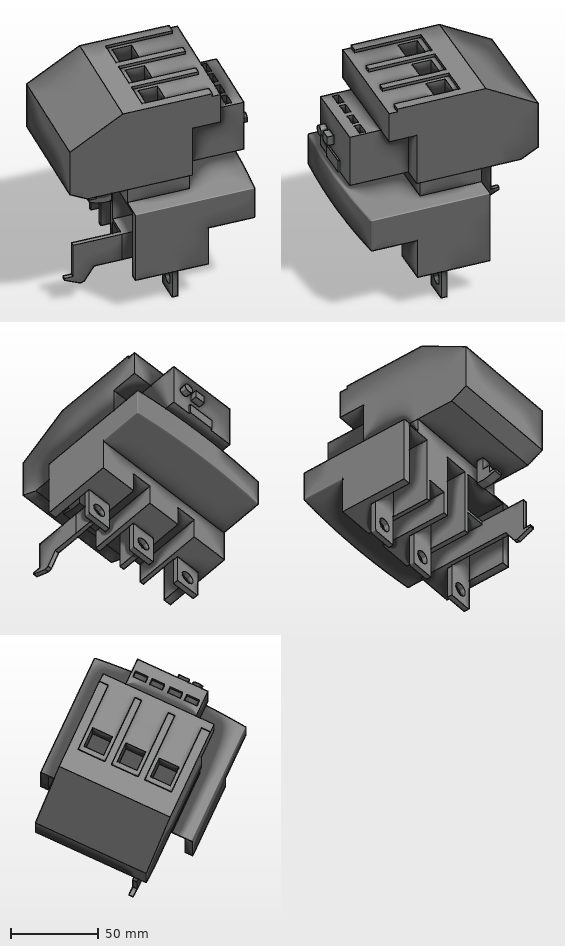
import cadquery as cq


BASE_WIDTH = 96.0
BASE_TOP = 46.6
BASE_BACK = 75.9
BACK_BOW = 2.4
BASE_LOWER_BACK = 44.8
OVERHANG_BOTTOM = 25.2
BASE_EDGE_RADIUS = 1.0

POLE_PITCH = 35.0
BLADE_WIDTH = 16.0
BLADE_THICKNESS = 3.3
BLADE_FRONT = 24.6
BLADE_BOTTOM = -22.4
BLADE_CORNER_RADIUS = 1.0
BLADE_HOLE_DIAMETER = 8.5
BLADE_HOLE_Z = -12.4

POCKET_TOP = 45.4
SIDE_POCKET_WIDTH = 16.4
NOTCH_TOP = 16.0
NOTCH_INNER_X = 11.1
NOTCH_OUTER_X = 24.0
SHELF_TOP = 18.2

ARM_THICKNESS = 2.7
ARM_FRONT = -30.1
ARM_ROOT_FRONT = -17.2
ARM_HOOK_HEEL = (-23.2, -9.2)
ARM_HOOK_TOE = (-25.6, -10.0)
ARM_LIP_BOTTOM = -5.5
ARM_LIP_TOP = -4.1

HEAD_WIDTH = 70.0
HEAD_BOTTOM = 55.7
HEAD_TOP = 110.6
HEAD_FRONT = -35.2
HEAD_BACK = 57.1
TOP_SLOPE_START = -2.7
FRONT_FACE_TOP = 91.8
FRONT_FACE_BOTTOM = 61.5
BOTTOM_SLOPE_START = -24.6
NECK_WIDE_BACK = 38.0
NECK_BACK = 66.7
NECK_NARROW_WIDTH = 20.0

CHANNEL_PITCH = 21.0
CHANNEL_WIDTH = 16.9
CHANNEL_DEPTH = 1.9
CHANNEL_FRONT = 11.0
REAR_LEDGE_FRONT = 52.0
WELL_WIDTH = 12.5
WELL_FRONT = 14.2
WELL_BACK = 26.1
WELL_DEPTH = 20.0

BOX_WIDTH = 44.4
BOX_FRONT = 40.0
BOX_BACK = 76.2
BOX_TOP = 89.2
SLOT_CENTERS_X = (-16.4, -5.9, 5.5, 16.0)
SLOT_WIDTH = 7.9
SLOT_FRONT = 65.8
SLOT_BACK = 69.5
SLOT_DEPTH = 5.0

BUTTON_BACK = 80.3
BUTTON_Z = 72.0
BUTTON_HEIGHT = 6.0
SQUARE_BUTTON_X = 5.3
SQUARE_BUTTON_WIDTH = 6.6
ROUND_BUTTON_X = 14.1
PLATE_LEFT = -7.2
PLATE_RIGHT = 10.0
PLATE_TOP = 63.5
PLATE_BACK = 77.3

LATCH_LEFT = 13.9
LATCH_WIDTH = 6.0
LATCH_BACK = -4.1
LATCH_STEM_FRONT = -8.7
LATCH_STEP_FRONT = -13.2
LATCH_STEP_TOP = 47.0
LATCH_LIP_FRONT = -17.4
LATCH_LIP_TOP = 42.4
LATCH_LIP_BOTTOM = 40.6
LATCH_SLOPE_END = -10.0
LATCH_BOTTOM = 38.4


def block(x_range, y_range, z_range):
    """Box between the given limits on each axis."""
    (x0, x1), (y0, y1), (z0, z1) = x_range, y_range, z_range
    return cq.Workplane("XY").box(x1 - x0, y1 - y0, z1 - z0, centered=False).translate((x0, y0, z0))


def centered_range(center, width):
    return center - width / 2, center + width / 2


def side_profile(points, x_left, width):
    """Outline of (Y, Z) points, extruded along X from x_left."""
    return cq.Workplane("YZ").polyline(points).close().extrude(width).translate((x_left, 0, 0))


def base_shell():
    """Upper slab with a domed back over a shorter lower block, with rounded outer edges."""
    half = BASE_WIDTH / 2
    upper = block((-half, half), (0, BASE_BACK), (OVERHANG_BOTTOM, BASE_TOP))
    dome_radius = (half**2 + BACK_BOW**2) / (2 * BACK_BOW)
    dome_z = (OVERHANG_BOTTOM + BASE_TOP) / 2
    dome = cq.Workplane("XY").sphere(dome_radius).translate((0, BASE_BACK - dome_radius, dome_z))
    upper = upper.intersect(dome)
    lower = block((-half, half), (0, BASE_LOWER_BACK), (0, OVERHANG_BOTTOM))
    shell = upper.union(lower)

    back_edges = shell.faces(">Y").edges()
    top_edges = shell.faces(">Z").edges("|Y")
    overhang_center = (0, (BASE_LOWER_BACK + BASE_BACK) / 2, OVERHANG_BOTTOM)
    overhang = shell.faces(cq.selectors.NearestToPointSelector(overhang_center))
    rounded_edges = back_edges.vals() + top_edges.vals() + overhang.edges("|Y").vals()
    return shell.newObject(rounded_edges).fillet(BASE_EDGE_RADIUS)


def neck():
    wide = block(centered_range(0, HEAD_WIDTH), (0, NECK_WIDE_BACK), (BASE_TOP, HEAD_BOTTOM))
    narrow = block(centered_range(0, NECK_NARROW_WIDTH), (NECK_WIDE_BACK, NECK_BACK), (BASE_TOP, HEAD_BOTTOM))
    return wide.union(narrow)


def base_pockets():
    """Front pockets ahead of the blades; the right one widens inwards above a shelf."""
    depth = (0, BLADE_FRONT)
    outer_x = POLE_PITCH + BLADE_WIDTH / 2
    inner_x = outer_x - SIDE_POCKET_WIDTH
    left = block((-outer_x, -inner_x), depth, (0, POCKET_TOP))
    middle = block(centered_range(0, BLADE_WIDTH), depth, (0, POCKET_TOP))
    right = block((inner_x, outer_x), depth, (0, POCKET_TOP))
    right_widening = block((NOTCH_INNER_X, outer_x), depth, (SHELF_TOP, POCKET_TOP))
    return left.union(middle).union(right).union(right_widening)


def base_notches():
    """Two notches between the poles, open below and running from front to back."""
    right = block((NOTCH_INNER_X, NOTCH_OUTER_X), (0, BASE_LOWER_BACK), (0, NOTCH_TOP))
    return right.union(right.mirror("YZ"))


def blade(x, rounded_corners):
    """Terminal blade hanging from the base, drilled for a screw."""
    tongue = block(
        centered_range(x, BLADE_WIDTH),
        (BLADE_FRONT, BLADE_FRONT + BLADE_THICKNESS),
        (BLADE_BOTTOM, 0),
    )
    tongue = tongue.faces("<Z").edges(rounded_corners).fillet(BLADE_CORNER_RADIUS)
    hole = (
        cq.Workplane("XZ", origin=(x, BLADE_FRONT, BLADE_HOLE_Z))
        .circle(BLADE_HOLE_DIAMETER / 2)
        .extrude(-BLADE_THICKNESS)
    )
    return tongue.cut(hole)


def hook_arm():
    """Thin arm reaching forward from beside the right pocket, ending in a hook."""
    points = [
        (0, SHELF_TOP),
        (ARM_FRONT, SHELF_TOP),
        (ARM_FRONT, ARM_LIP_TOP),
        (HEAD_FRONT, ARM_LIP_TOP),
        (HEAD_FRONT, ARM_LIP_BOTTOM),
        ARM_HOOK_TOE,
        ARM_HOOK_HEEL,
        (ARM_ROOT_FRONT, 0),
        (0, 0),
    ]
    return side_profile(points, NOTCH_OUTER_X, ARM_THICKNESS)


def make_base():
    base = base_shell().union(neck()).cut(base_pockets()).cut(base_notches())
    for x, rounded_corners in ((-POLE_PITCH, "<X"), (0, "|Y"), (POLE_PITCH, ">X")):
        base = base.union(blade(x, rounded_corners))
    return base.union(hook_arm())


def head_block():
    """Sloped-front block, cut away under its rear where the narrower box takes over."""
    points = [
        (BOTTOM_SLOPE_START, HEAD_BOTTOM),
        (HEAD_FRONT, FRONT_FACE_BOTTOM),
        (HEAD_FRONT, FRONT_FACE_TOP),
        (TOP_SLOPE_START, HEAD_TOP),
        (HEAD_BACK, HEAD_TOP),
        (HEAD_BACK, BOX_TOP),
        (BOX_FRONT, BOX_TOP),
        (BOX_FRONT, HEAD_BOTTOM),
    ]
    return side_profile(points, -HEAD_WIDTH / 2, HEAD_WIDTH)


def cut_wire_channels(head):
    """Rear ledge, three shallow channels running into it, and a square well in each channel."""
    floor = HEAD_TOP - CHANNEL_DEPTH
    ledge = block(centered_range(0, HEAD_WIDTH), (REAR_LEDGE_FRONT, HEAD_BACK), (floor, HEAD_TOP))
    head = head.cut(ledge)
    for x in (-CHANNEL_PITCH, 0, CHANNEL_PITCH):
        channel = block(
            centered_range(x, CHANNEL_WIDTH), (CHANNEL_FRONT, REAR_LEDGE_FRONT), (floor, HEAD_TOP)
        )
        well = block(centered_range(x, WELL_WIDTH), (WELL_FRONT, WELL_BACK), (floor - WELL_DEPTH, floor))
        head = head.cut(channel).cut(well)
    return head


def rear_box():
    """Control box at the rear with four slots in its top."""
    box = block(centered_range(0, BOX_WIDTH), (BOX_FRONT, BOX_BACK), (HEAD_BOTTOM, BOX_TOP))
    for x in SLOT_CENTERS_X:
        slot = block(
            centered_range(x, SLOT_WIDTH), (SLOT_FRONT, SLOT_BACK), (BOX_TOP - SLOT_DEPTH, BOX_TOP)
        )
        box = box.cut(slot)
    return box


def rear_controls():
    """Square button, round button and a low plate on the back of the rear box."""
    square_button = block(
        centered_range(SQUARE_BUTTON_X, SQUARE_BUTTON_WIDTH),
        (BOX_BACK, BUTTON_BACK),
        centered_range(BUTTON_Z, BUTTON_HEIGHT),
    )
    round_button = (
        cq.Workplane("XZ", origin=(ROUND_BUTTON_X, BOX_BACK, BUTTON_Z))
        .circle(BUTTON_HEIGHT / 2)
        .extrude(BOX_BACK - BUTTON_BACK)
    )
    plate = block((PLATE_LEFT, PLATE_RIGHT), (BOX_BACK, PLATE_BACK), (HEAD_BOTTOM, PLATE_TOP))
    return square_button, round_button, plate


def latch():
    """Stepped hook hanging under the front of the head."""
    points = [
        (LATCH_BACK, HEAD_BOTTOM),
        (LATCH_STEM_FRONT, HEAD_BOTTOM),
        (LATCH_STEM_FRONT, LATCH_STEP_TOP),
        (LATCH_STEP_FRONT, LATCH_STEP_TOP),
        (LATCH_STEP_FRONT, LATCH_LIP_TOP),
        (LATCH_LIP_FRONT, LATCH_LIP_TOP),
        (LATCH_LIP_FRONT, LATCH_LIP_BOTTOM),
        (LATCH_SLOPE_END, LATCH_BOTTOM),
        (LATCH_BACK, LATCH_BOTTOM),
    ]
    return side_profile(points, LATCH_LEFT, LATCH_WIDTH)


def make_head():
    head = cut_wire_channels(head_block()).union(rear_box())
    for control in rear_controls():
        head = head.union(control)
    return head.union(latch())


base = make_base()
head = make_head()

result = cq.Compound.makeCompound([base.val(), head.val()])